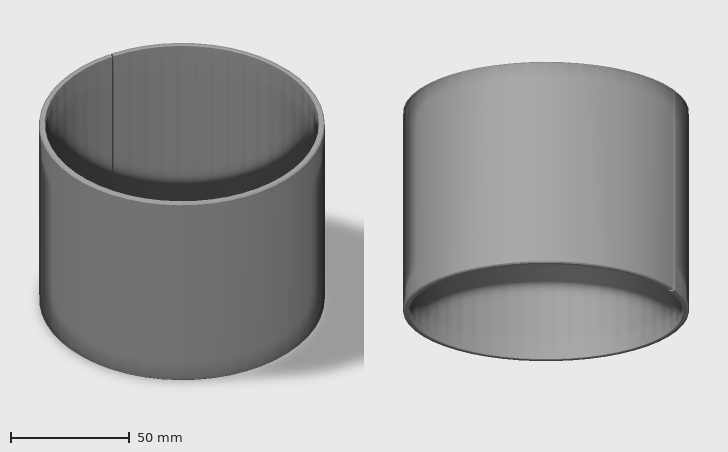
import cadquery as cq

outer_diameter = 120.0
wall_thickness = 2.5
length = 90.0
outer_chamfer = 0.5
inner_chamfer = 0.2

joint_gap_angle = 1.0

outer_radius = outer_diameter / 2
inner_radius = outer_radius - wall_thickness


def make_wall_section():
    """Wall cross-section on the -X side of the XZ plane, with all four corners chamfered."""
    return (
        cq.Workplane("XZ")
        .moveTo(-inner_radius - inner_chamfer, 0)
        .lineTo(-outer_radius + outer_chamfer, 0)
        .lineTo(-outer_radius, outer_chamfer)
        .lineTo(-outer_radius, length - outer_chamfer)
        .lineTo(-outer_radius + outer_chamfer, length)
        .lineTo(-inner_radius - inner_chamfer, length)
        .lineTo(-inner_radius, length - inner_chamfer)
        .lineTo(-inner_radius, inner_chamfer)
        .close()
    )


result = make_wall_section().revolve(360 - joint_gap_angle, (0, 0, 0), (0, 1, 0))